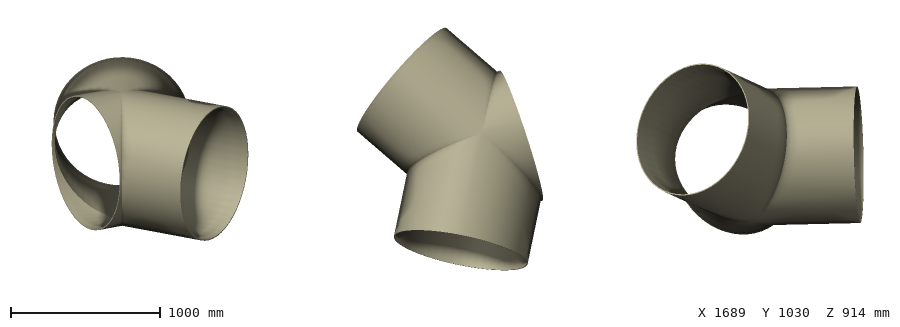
import cadquery as cq
import math

overall_width = 1689.0
overall_depth = 1030.0
outer_diameter = 914.0
inner_diameter = 899.0

outer_radius = outer_diameter / 2
arm_angle = 30.0
arm_cos = math.cos(math.radians(arm_angle))
arm_sin = math.sin(math.radians(arm_angle))

arm_length = (overall_width / 2 - outer_radius * arm_sin) / arm_cos
arm_reach_y = arm_length * arm_sin + outer_radius * arm_cos
front_length = overall_depth - arm_reach_y

untrimmed_front_length = outer_diameter
branches = [
    (-90.0, untrimmed_front_length),
    (arm_angle, arm_length),
    (180.0 - arm_angle, arm_length),
]


def branch_cylinder(diameter, angle, length):
    """Solid cylinder running from the origin along one branch direction."""
    direction = cq.Vector(math.cos(math.radians(angle)), math.sin(math.radians(angle)), 0)
    cylinder = cq.Solid.makeCylinder(diameter / 2, length, cq.Vector(0, 0, 0), direction)
    return cq.Workplane(obj=cylinder)


def joined_branches(diameter):
    """All three branches of one diameter, fused along their mitre planes."""
    body = cq.Workplane()
    for angle, length in branches:
        body = body.add(branch_cylinder(diameter, angle, length))
    return body.combine()


def front_trim():
    """Block that removes everything in front of the short pipe's end plane."""
    block = cq.Workplane().box(overall_width, overall_width, overall_width)
    return block.translate((0, -front_length - overall_width / 2, 0))


untrimmed_shell = joined_branches(outer_diameter).cut(joined_branches(inner_diameter))
result = untrimmed_shell.cut(front_trim())